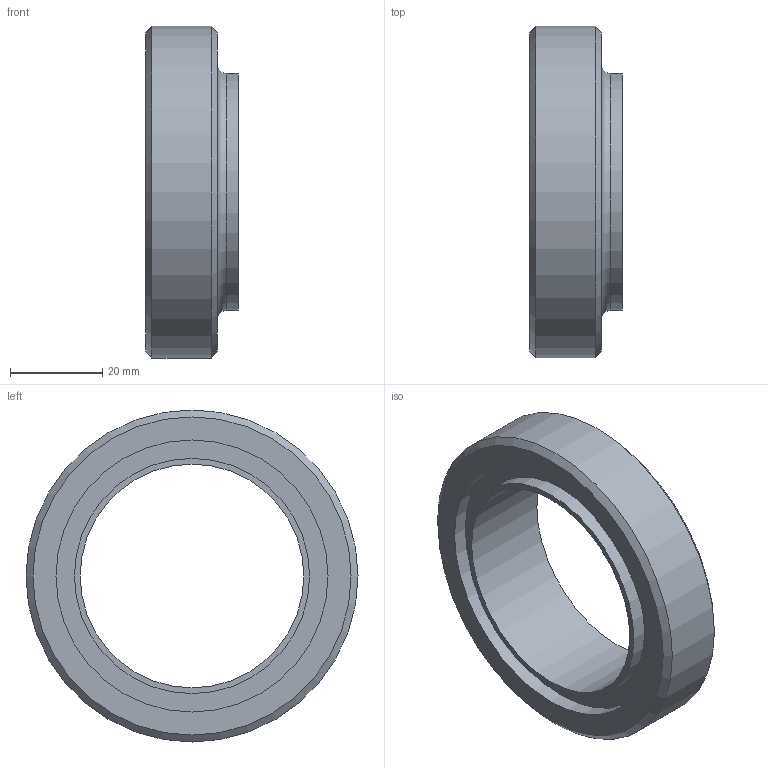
import cadquery as cq
import math

total_length = 20.0
flange_length = 15.5
flange_diameter = 72.0
bore_diameter = 48.5
chamfer_length = 1.3
chamfer_height = 1.5

collar_diameter = 51.4
collar_fillet = 2.0

groove_outer_diameter = 59.0
groove_inner_diameter = 51.0
groove_depth = 3.3


def cylinder(diameter, start, length):
    """Solid cylinder along X that begins at X = start."""
    return cq.Workplane("YZ", origin=(start, 0, 0)).circle(diameter / 2).extrude(length)


def make_flange():
    """Main disc with both rim edges chamfered."""
    outer_radius = flange_diameter / 2
    face_radius = outer_radius - chamfer_height
    return (
        cq.Workplane("XY")
        .lineTo(0, face_radius)
        .lineTo(chamfer_length, outer_radius)
        .lineTo(flange_length - chamfer_length, outer_radius)
        .lineTo(flange_length, face_radius)
        .lineTo(flange_length, 0)
        .close()
        .revolve(360, (0, 0, 0), (1, 0, 0))
    )


def make_collar():
    """Collar with a concave fillet running out into the flange face."""
    collar_radius = collar_diameter / 2
    fillet_end = flange_length + collar_fillet
    arc_mid_offset = collar_fillet * (1 - math.cos(math.pi / 4))
    return (
        cq.Workplane("XY")
        .moveTo(flange_length, 0)
        .lineTo(flange_length, collar_radius + collar_fillet)
        .threePointArc(
            (flange_length + arc_mid_offset, collar_radius + arc_mid_offset),
            (fillet_end, collar_radius),
        )
        .lineTo(total_length, collar_radius)
        .lineTo(total_length, 0)
        .close()
        .revolve(360, (0, 0, 0), (1, 0, 0))
    )


def make_groove():
    """Ring of material removed from the -X face."""
    outer = cylinder(groove_outer_diameter, 0, groove_depth)
    return outer.cut(cylinder(groove_inner_diameter, 0, groove_depth))


bore = cylinder(bore_diameter, 0, total_length)
result = make_flange().union(make_collar()).cut(bore).cut(make_groove())